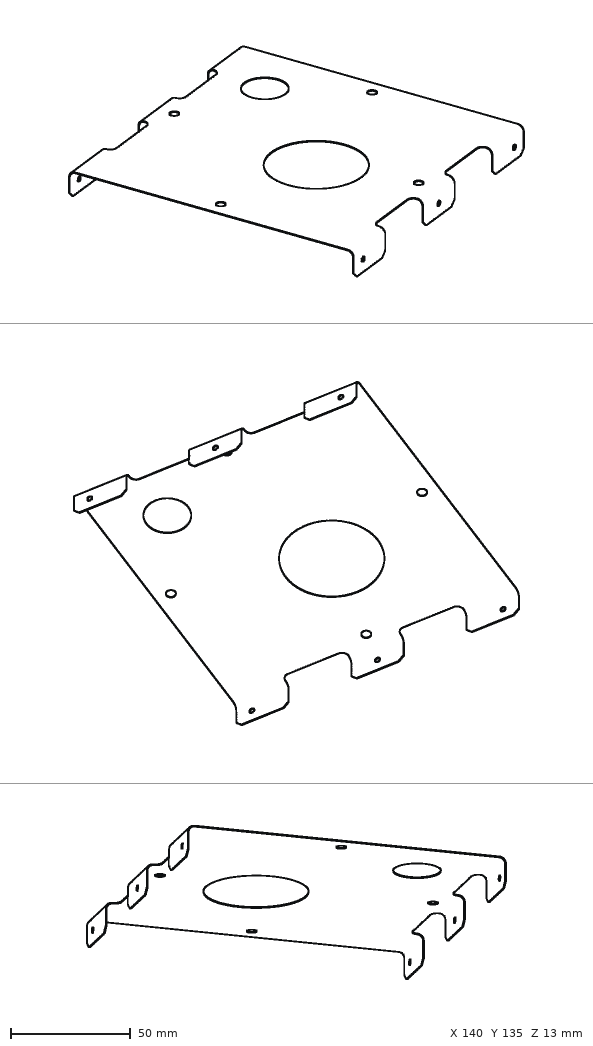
import cadquery as cq

WIDTH = 140.0
DEPTH = 135.0
HEIGHT = 13.0
THICKNESS = 0.5
BEND_INNER_RADIUS = 2.5
BEND_OUTER_RADIUS = BEND_INNER_RADIUS + THICKNESS

TAB_COUNT = 3
TAB_WIDTH = 25.0
TAB_CHAMFER = 2.5
NOTCH_WIDTH = (DEPTH - TAB_COUNT * TAB_WIDTH) / (TAB_COUNT - 1)
NOTCH_DEPTH = 6.0
NOTCH_CORNER_RADIUS = 3.0
TAB_PITCH = TAB_WIDTH + NOTCH_WIDTH

MOUNT_HOLE_DIAMETER = 4.2
MOUNT_HOLE_OFFSET = 60.0
LARGE_OPENING_DIAMETER = 44.0
LARGE_OPENING_CENTER = (15.0, -8.5)
SMALL_OPENING_DIAMETER = 20.0
SMALL_OPENING_CENTER = (-40.0, 39.5)

TAB_HOLE_DIAMETER = 2.4
TAB_HOLE_DROP = 7.0
TAB_HOLE_OFFSET = 60.0


def folded_sheet():
    """Inverted U channel along Y, with its top face at Z = 0 and rounded bends."""
    outer = (
        cq.Workplane("XY")
        .box(WIDTH, DEPTH, HEIGHT, centered=(True, True, False))
        .translate((0, 0, -HEIGHT))
        .edges("|Y and >Z")
        .fillet(BEND_OUTER_RADIUS)
    )
    inner = (
        cq.Workplane("XY")
        .box(WIDTH - 2 * THICKNESS, DEPTH, HEIGHT, centered=(True, True, False))
        .translate((0, 0, -HEIGHT - THICKNESS))
        .edges("|Y and >Z")
        .fillet(BEND_INNER_RADIUS)
    )
    return outer.cut(inner)


def notches():
    """Full-height cutters between neighbouring tabs, rounded at their inner corners."""
    centers = [
        (side * WIDTH / 2, (index - (TAB_COUNT - 2) / 2) * TAB_PITCH)
        for side in (-1, 1)
        for index in range(TAB_COUNT - 1)
    ]
    return (
        cq.Workplane("XY")
        .pushPoints(centers)
        .rect(2 * NOTCH_DEPTH, NOTCH_WIDTH)
        .extrude(-HEIGHT)
        .edges("|Z")
        .fillet(NOTCH_CORNER_RADIUS)
    )


def plate_holes():
    """Cutters for the four mounting holes and the two round openings."""
    mount_centers = [
        (MOUNT_HOLE_OFFSET, 0),
        (-MOUNT_HOLE_OFFSET, 0),
        (0, MOUNT_HOLE_OFFSET),
        (0, -MOUNT_HOLE_OFFSET),
    ]
    cutters = cq.Workplane("XY").pushPoints(mount_centers).circle(MOUNT_HOLE_DIAMETER / 2).extrude(-HEIGHT)
    openings = (
        (LARGE_OPENING_CENTER, LARGE_OPENING_DIAMETER),
        (SMALL_OPENING_CENTER, SMALL_OPENING_DIAMETER),
    )
    for center, diameter in openings:
        cutters = cutters.union(cq.Workplane("XY").center(*center).circle(diameter / 2).extrude(-HEIGHT))
    return cutters


def tab_holes():
    """Cutters along X, each passing through one tab on either side."""
    centers = [(y, -TAB_HOLE_DROP) for y in (-TAB_HOLE_OFFSET, 0, TAB_HOLE_OFFSET)]
    return (
        cq.Workplane("YZ")
        .pushPoints(centers)
        .circle(TAB_HOLE_DIAMETER / 2)
        .extrude(WIDTH / 2, both=True)
    )


sheet = folded_sheet().cut(notches())
sheet = sheet.faces("<Z").edges("|X").chamfer(TAB_CHAMFER)
result = sheet.cut(plate_holes()).cut(tab_holes())